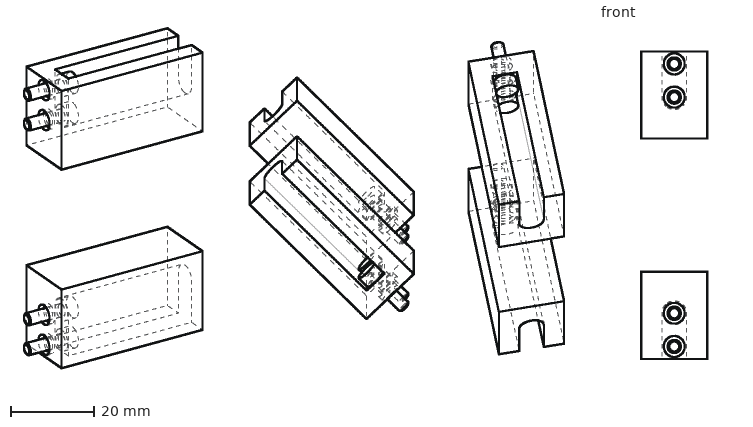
import cadquery as cq

TOTAL_HEIGHT = 74.0
BLOCK_WIDTH = 16.0
BLOCK_LENGTH = 40.0
BLOCK_HEIGHT = 21.0

SHANK_DIAMETER = 3.0
HEAD_DIAMETER = 5.5
HEAD_LENGTH = 3.0
SHANK_PROTRUSION = 4.95
TIP_CHAMFER = 0.3
SCREW_SPACING = 8.0
SCREW_EDGE_DISTANCE = 3.0

SLOT_WIDTH = 6.0
FRONT_WALL = 5.0
CLEARANCE_DIAMETER = 3.2
COUNTERBORE_DIAMETER = 5.0
COUNTERBORE_DEPTH = 1.5

BLOCK_TOP = TOTAL_HEIGHT / 2
OUTER_SCREW_Z = BLOCK_TOP - SCREW_EDGE_DISTANCE
INNER_SCREW_Z = OUTER_SCREW_Z - SCREW_SPACING
SCREW_HEIGHTS = (OUTER_SCREW_Z, INNER_SCREW_Z)


def rod(diameter, start_y, end_y, z):
    """Round bar along Y, on the middle plane X = 0."""
    return cq.Workplane("XZ", origin=(0, start_y, z)).circle(diameter / 2).extrude(start_y - end_y)


def make_slot():
    """Slot open at the top and back, with a half-round bottom around the inner screw."""
    slot_length = BLOCK_LENGTH - FRONT_WALL
    slot_depth = BLOCK_TOP - INNER_SCREW_Z
    straight = cq.Workplane("XY", origin=(0, FRONT_WALL, INNER_SCREW_Z)).box(
        SLOT_WIDTH, slot_length, slot_depth, centered=(True, False, False)
    )
    return straight.union(rod(SLOT_WIDTH, FRONT_WALL, BLOCK_LENGTH, INNER_SCREW_Z))


def make_block():
    """Upper block with its slot and two counterbored screw holes."""
    block = cq.Workplane("XY", origin=(0, 0, BLOCK_TOP - BLOCK_HEIGHT)).box(
        BLOCK_WIDTH, BLOCK_LENGTH, BLOCK_HEIGHT, centered=(True, False, False)
    )
    block = block.cut(make_slot())
    for z in SCREW_HEIGHTS:
        block = block.cut(rod(CLEARANCE_DIAMETER, 0, FRONT_WALL, z))
        block = block.cut(rod(COUNTERBORE_DIAMETER, 0, COUNTERBORE_DEPTH, z))
    return block


def make_screw(z):
    """Screw whose head rests on the slot's front wall; the shank tip is chamfered."""
    shank = rod(SHANK_DIAMETER, -SHANK_PROTRUSION, FRONT_WALL, z).faces("<Y").chamfer(TIP_CHAMFER)
    head = rod(HEAD_DIAMETER, FRONT_WALL, FRONT_WALL + HEAD_LENGTH, z)
    return shank.union(head)


upper_block = make_block()
lower_block = upper_block.mirror("XY")

screws = []
for height in SCREW_HEIGHTS:
    for side in (1, -1):
        screws.append(make_screw(side * height).val())

result = cq.Compound.makeCompound([upper_block.val(), lower_block.val(), *screws])